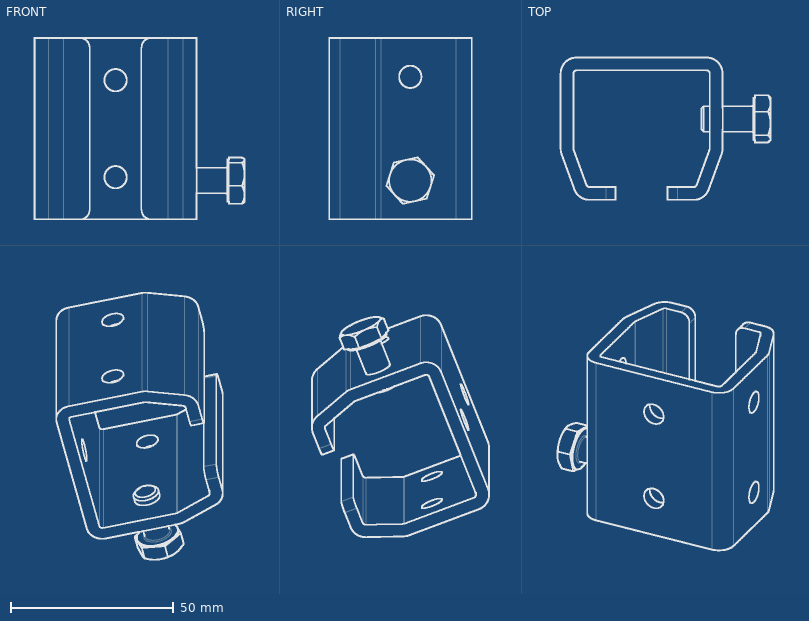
import cadquery as cq
import math

width = 50.0
depth = 44.0
height = 56.0
wall = 4.0
bend_radius = 5.0
taper_start = 29.0
taper_angle = 20.0
slot_width = 16.0
lip_corner_radius = 3.0
hole_diameter = 6.8
back_hole_margin = 13.0
side_hole_margin = 12.0
side_hole_setback = 19.0

half_width = width / 2
back_y = depth / 2
front_y = -depth / 2
side_hole_y = back_y - side_hole_setback

overall_length = 64.8
bolt_diameter = 8.0
shank_length = 16.0
tip_chamfer = 0.8
neck_radius = 0.4
head_height = 5.3
washer_thickness = 0.5
across_flats = 13.0
head_chamfer_length = 0.8
head_tilt = 17.7

bolt_radius = bolt_diameter / 2
flat_radius = across_flats / 2
corner_radius = flat_radius / math.cos(math.radians(30))
head_end_x = overall_length - half_width
seat_x = head_end_x - head_height
tip_x = seat_x - shank_length
hex_start_x = seat_x + washer_thickness
bolt_z = side_hole_margin


def x_cylinder(diameter, start_x, end_x, z):
    """Cylinder along X on the side hole line at height z."""
    plane = cq.Plane(origin=(start_x, side_hole_y, z), xDir=(0, 1, 0), normal=(1, 0, 0))
    return cq.Workplane(plane).circle(diameter / 2).extrude(end_x - start_x)


def make_channel():
    """Closed tapered tube with constant wall thickness, opened by the slot."""
    taper_y = back_y - taper_start
    taper_inset = (depth - taper_start) * math.tan(math.radians(taper_angle))
    front_half_width = half_width - taper_inset
    corners = [
        (-half_width, back_y),
        (half_width, back_y),
        (half_width, taper_y),
        (front_half_width, front_y),
        (-front_half_width, front_y),
        (-half_width, taper_y),
    ]
    outer = cq.Workplane("XY").polyline(corners).close().extrude(height)
    outer = outer.edges("|Z").fillet(bend_radius)
    outline = outer.faces("<Z").wires().val()
    inner = cq.Workplane("XY").add(outline.offset2D(-wall)).toPending().extrude(height)
    slot = cq.Workplane("XY").box(slot_width, 2 * wall, height, centered=(True, True, False))
    channel = outer.cut(inner).cut(slot.translate((0, front_y, 0)))
    lip_region = cq.selectors.BoxSelector(
        (-slot_width / 2 - wall / 2, front_y - wall, -wall),
        (slot_width / 2 + wall / 2, front_y + wall, height + wall),
    )
    return channel.edges("|Y").edges(lip_region).fillet(lip_corner_radius)


def make_bracket():
    bracket = make_channel()
    for z in (back_hole_margin, height - back_hole_margin):
        drill = cq.Workplane("XZ", origin=(0, back_y, z)).circle(hole_diameter / 2).extrude(2 * wall)
        bracket = bracket.cut(drill)
    for z in (side_hole_margin, height - side_hole_margin):
        bracket = bracket.cut(x_cylinder(hole_diameter, -half_width, half_width, z))
    return bracket.cut(x_cylinder(bolt_diameter, 0, half_width, bolt_z))


def make_hex_head():
    """Hexagon prism whose outer end is chamfered down to the across-flats circle."""
    plane = cq.Plane(origin=(hex_start_x, side_hole_y, bolt_z), xDir=(0, 0, 1), normal=(1, 0, 0))
    head_length = head_end_x - hex_start_x
    hexagon = cq.Workplane(plane).polygon(6, 2 * corner_radius).extrude(head_length)
    axis_start = (hex_start_x, side_hole_y, bolt_z)
    axis_end = (head_end_x, side_hole_y, bolt_z)
    hexagon = hexagon.rotate(axis_start, axis_end, -head_tilt)
    envelope = cq.Workplane(plane).circle(corner_radius).extrude(head_length)
    envelope = envelope.faces(">X").chamfer(head_chamfer_length, corner_radius - flat_radius)
    return hexagon.intersect(envelope)


def make_bolt():
    """Shank, neck fillet and washer face revolved about X, joined to the head."""
    neck_mid = neck_radius * (1 - math.sqrt(0.5))
    body = (
        cq.Workplane("XY", origin=(0, side_hole_y, bolt_z))
        .moveTo(tip_x, 0)
        .lineTo(tip_x, bolt_radius - tip_chamfer)
        .lineTo(tip_x + tip_chamfer, bolt_radius)
        .lineTo(seat_x - neck_radius, bolt_radius)
        .threePointArc((seat_x - neck_mid, bolt_radius + neck_mid), (seat_x, bolt_radius + neck_radius))
        .lineTo(seat_x, flat_radius)
        .lineTo(hex_start_x, flat_radius)
        .lineTo(hex_start_x, 0)
        .close()
        .revolve(360, (0, 0, 0), (1, 0, 0))
    )
    return body.union(make_hex_head())


bracket = make_bracket()
bolt = make_bolt()

result = cq.Compound.makeCompound([bracket.val(), bolt.val()])